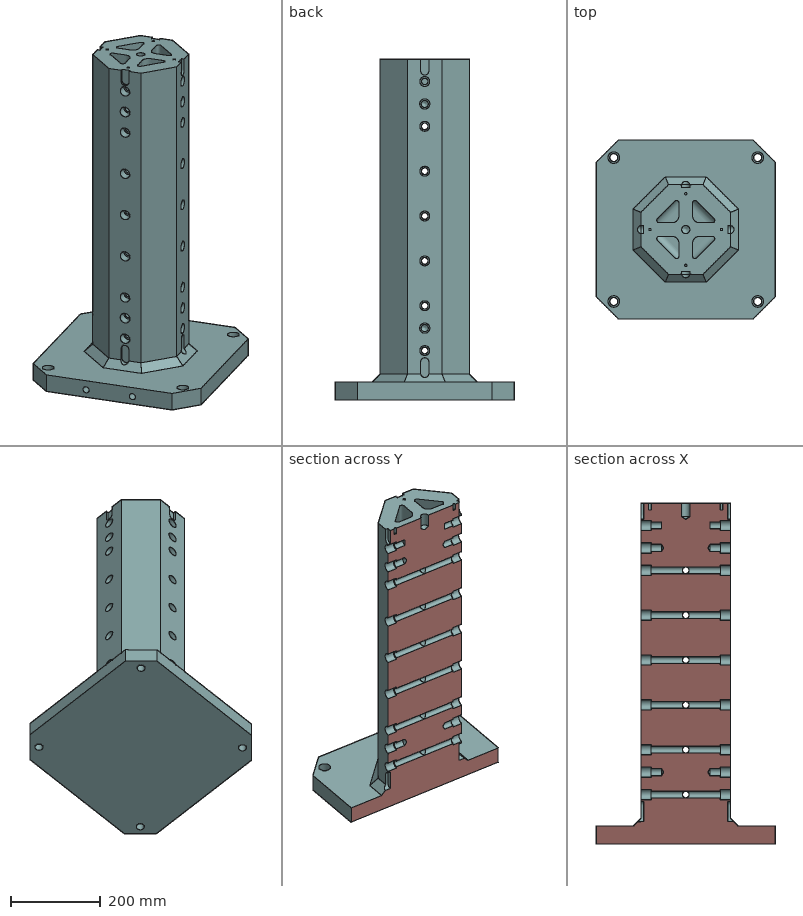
import cadquery as cq
import math

total_height = 760

base_side = 400.0
base_thickness = 40.0
base_corner_cut = 50.0

column_width = 200.0
column_face_width = 77.0
skirt_height = 17.5
skirt_spread = 17.5

anchor_offset = 160.0
anchor_diameter = 17.5
anchor_counterbore_diameter = 26.0
anchor_counterbore_depth = 20.0
side_hole_spacing = 110.0
side_hole_diameter = 14.5
side_hole_depth = 30.5
side_hole_height = 18.0

lowest_hole_drop = 650.0
through_hole_steps = [3, 5, 7, 9, 11, 13]
drilled_hole_steps = [2, 12]
flat_hole_step = 1
counterbore_diameter = 22.0
drilled_counterbore_diameter = 23
counterbore_depth = 23
through_hole_diameter = 14.5
drilled_hole_diameter = 16.0
blind_hole_depth = 45.5

keyway_width = 18.0
keyway_depth = 6.0
upper_keyway_length = 36.0
lower_keyway_bottom = 50.0
lower_keyway_top = 94.0

centre_hole_diameter = 18.0
centre_hole_depth = 30.5
pin_hole_diameter = 5.0
pin_hole_depth = 15
pin_hole_offset = 80.0

rib_width = 30.5
pocket_reach = 87.5
pocket_inner_radius = 15
pocket_tip_radius = 5.0
pocket_floor_radius = 17.0

drill_point_angle = 118

half_column = column_width / 2
hole_pitch = lowest_hole_drop / max(through_hole_steps)
quarter_turns = [0, 90, 180, 270]
drill_point_ratio = 1 / math.tan(math.radians(drill_point_angle / 2))


def octagon(width, corner_cut, z):
    """Square section at height z with its four corners cut at 45 degrees."""
    half = width / 2
    flat = half - corner_cut
    points = [
        (half, -flat), (half, flat), (flat, half), (-flat, half),
        (-half, flat), (-half, -flat), (-flat, -half), (flat, -half),
    ]
    return cq.Workplane("XY").workplane(offset=z).polyline(points).close()


def drill(diameter, depth, start, direction):
    """Blind drilled hole: a cylinder ending in a conical drill point."""
    radius = diameter / 2
    tip = depth + radius * drill_point_ratio
    profile = cq.Workplane("XZ").polyline([(0, 0), (radius, 0), (radius, depth), (0, tip)]).close()
    cutter = profile.revolve(360, (0, 0), (0, 1)).val()
    plane = cq.Plane(origin=start, normal=direction)
    return cq.Workplane(cutter.moved(cq.Location(plane)))


def bore(diameter, depth, start, direction):
    """Plain flat-bottomed cylinder."""
    cutter = cq.Solid.makeCylinder(diameter / 2, depth, cq.Vector(*start), cq.Vector(*direction))
    return cq.Workplane(cutter)


def turned(shape, angle):
    return shape.rotate((0, 0, 0), (0, 0, 1), angle)


def body():
    plate = octagon(base_side, base_corner_cut, 0).extrude(base_thickness)
    column_cut = (column_width - column_face_width) / 2
    column_height = total_height - base_thickness
    column = octagon(column_width, column_cut, base_thickness).extrude(column_height)
    skirt_cut = column_cut + skirt_spread * (2 - math.sqrt(2))
    skirt_lower = octagon(column_width + 2 * skirt_spread, skirt_cut, base_thickness).wires().val()
    skirt_upper = octagon(column_width, column_cut, base_thickness + skirt_height).wires().val()
    skirt = cq.Workplane(cq.Solid.makeLoft([skirt_lower, skirt_upper], True))
    return plate.union(column).union(skirt)


def face_holes():
    """Holes of the -Y column face, from the face inward."""
    inward = (0, 1, 0)

    def mouth(step):
        return (0, -half_column, total_height - step * hole_pitch)

    cutters = bore(through_hole_diameter, blind_hole_depth, mouth(flat_hole_step), inward)
    for step in through_hole_steps:
        cutters = cutters.union(bore(through_hole_diameter, column_width, mouth(step), inward))
    for step in drilled_hole_steps:
        cutters = cutters.union(drill(drilled_hole_diameter, blind_hole_depth, mouth(step), inward))
        cutters = cutters.union(bore(drilled_counterbore_diameter, counterbore_depth, mouth(step), inward))
    for step in [flat_hole_step] + through_hole_steps:
        cutters = cutters.union(bore(counterbore_diameter, counterbore_depth, mouth(step), inward))
    return cutters


def keyway(bottom, top):
    """Round-ended slot in the -Y column face, cut outward through the skirt."""
    cut_depth = keyway_depth + skirt_spread
    plane = cq.Workplane("XZ", origin=(0, keyway_depth - half_column, (bottom + top) / 2))
    return plane.slot2D(top - bottom, keyway_width, 90).extrude(cut_depth)


def pocket():
    """Triangular pocket in the +X +Y quarter, its floor rounded into the slanted wall."""
    inner = rib_width / 2
    tip = pocket_reach - inner
    depth = total_height - base_thickness
    corners = [(inner, inner), (tip, inner), (inner, tip)]
    prism = cq.Workplane("XY").workplane(offset=base_thickness).polyline(corners).close().extrude(depth)
    rounded_floor = prism.edges("<Z and (not |X) and (not |Y)").fillet(pocket_floor_radius)
    rounded_walls = prism.edges("|Z and (>X or >Y)").fillet(pocket_tip_radius)
    rounded_walls = rounded_walls.edges("|Z and (<X and <Y)").fillet(pocket_inner_radius)
    return rounded_walls.intersect(rounded_floor)


def base_holes(part):
    downward = (0, 0, -1)
    for x in [-anchor_offset, anchor_offset]:
        for y in [-anchor_offset, anchor_offset]:
            mouth = (x, y, base_thickness)
            part = part.cut(bore(anchor_diameter, base_thickness, mouth, downward))
            part = part.cut(bore(anchor_counterbore_diameter, anchor_counterbore_depth, mouth, downward))
    for side in [-1, 1]:
        mouth = (side * side_hole_spacing / 2, -base_side / 2, side_hole_height)
        part = part.cut(drill(side_hole_diameter, side_hole_depth, mouth, (0, 1, 0)))
    return part


def column_cuts(part):
    upper_keyway_bottom = total_height - upper_keyway_length
    side_cutters = [
        face_holes(),
        keyway(upper_keyway_bottom, total_height + keyway_width),
        keyway(lower_keyway_bottom, lower_keyway_top),
        pocket(),
        bore(pin_hole_diameter, pin_hole_depth, (0, -pin_hole_offset, total_height), (0, 0, -1)),
    ]
    for cutter in side_cutters:
        for angle in quarter_turns:
            part = part.cut(turned(cutter, angle))
    return part.cut(drill(centre_hole_diameter, centre_hole_depth, (0, 0, total_height), (0, 0, -1)))


result = column_cuts(base_holes(body()))